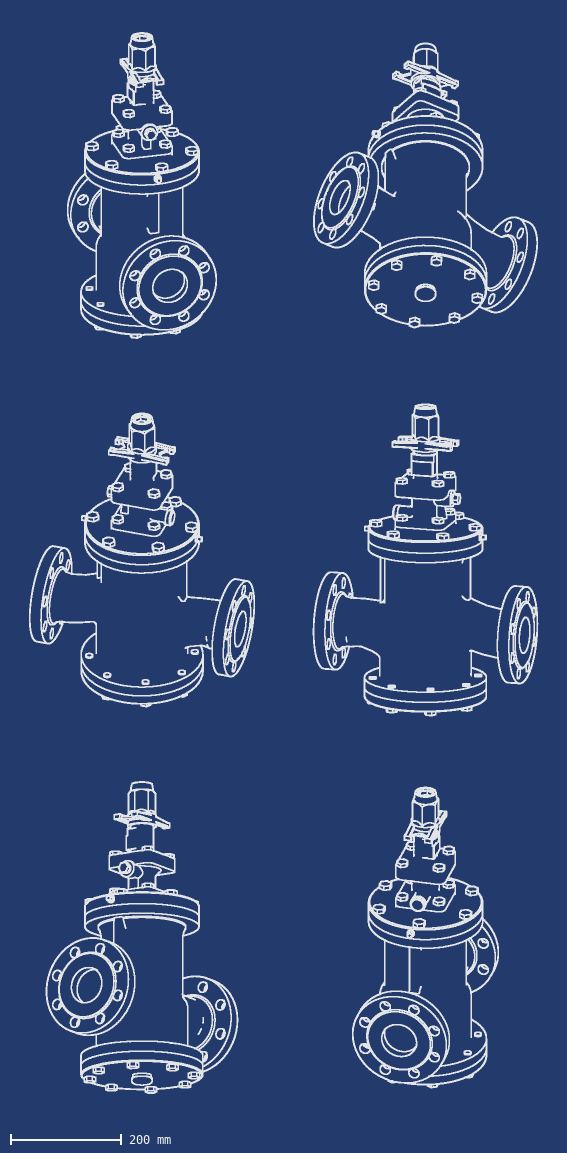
import cadquery as cq
import math


base_flange_dia = 220.0
base_cover_bottom_z = 14.5
base_seam_z = 32.5
base_flange_top_z = 51.5
base_rim_chamfer = 1.5
lower_shell_dia = 165.0
upper_shell_dia = 147.5
shell_foot_radius = 4.5
bulge_bottom_z = 139.5
bulge_middle_z = 153.5
bulge_top_z = 163.0
neck_flare_bottom_z = 270.0
neck_flare_top_z = 288.0
neck_flare_dia = 158.5
cover_flange_dia = 206.0
cover_flange_bottom_z = 290.5
cover_seam_z = 308.0
cover_top_z = 330.0
cover_rim_chamfer = 2.0

rib_reach = 83.5
rib_width = 19.0
rib_foot_radius = 3.0
rib_edge_radius = 5.0

pipe_axis_z = 143.5
pipe_span = 374.0
pipe_end_x = pipe_span / 2
raised_face_dia = 122.0
raised_face_top_dia = 117.0
raised_face_height = 3.0
pipe_flange_dia = 175.0
pipe_flange_thickness = 21.5
bore_dia = 65.0
bore_depth = 19.5
flange_hole_dia = 19.0
flange_hole_circle_radius = 70.0
flange_hole_count = 8
hub_root_dia = 99.5
hub_root_radius = 3.5
hub_end_dia = 88.5
hub_end_x = 137.5
hub_waist_x = 152.5
hub_waist_dia = 92.0
inlet_blend_radius = 13.5
outlet_blend_radius = 6.5
blend_zone_x = (58.0, 88.5)
blend_zone_z = (88.5, 221.5)

bolt_head_height = 8.0
base_bolt_dia = 20.5
base_bolt_circle_radius = 95.5
base_bolt_count = 8
stud_dia = 12.0
stud_height = 2.0
cover_bolt_dia = 22.5
cover_bolt_circle_radius = 91.0
cover_bolt_count = 6
cover_bolt_start_angle = 7.4
pilot_bolt_dia = 21.0
pilot_bolt_head_height = 6.5
pilot_bolt_offset = 34.5

plug_dia = 36.5
plug_bottom_dia = 27.0
plug_neck_dia = 34.0
plug_rim_bottom_z = 6.0
plug_rim_top_z = 9.0

screw_z = 319.5
screw_collar_dia = 12.0
screw_collar_length = 3.5
screw_shank_dia = 8.5
screw_reach = 113.5

plate_width = 92.5
plate_corner_radius = 12.0
plate_edge_radius = 1.5
pad_top_z = 338.5
pad_foot_radius = 3.5
lower_plate_top_z = 350.0
pilot_neck_dia = 49.5
pilot_neck_foot_radius = 3.5
cone_bottom_z = 381.5
cone_blend_z = 386.5
cone_blend_dia = 54.5
cone_dia = 68.5
upper_plate_bottom_z = 394.5
upper_plate_top_z = 419.0
left_port_z = 353.5
left_port_end_x = 49.0
left_port_dia = 26.0
left_port_blend_radius = 3.5
left_cap_dia = 27.0
left_cap_end_x = 58.0
left_cap_chamfer = 2.0
right_port_z = 387.0
right_port_dia = 30.0
right_port_end_x = 51.0
right_plug_neck_dia = 16.5
right_plug_neck_end_x = 54.0
right_plug_dia = 20.0
right_plug_end_x = 63.0
gusset_width = 13.5
gusset_edge_radius = 3.5
gusset_foot_x = 39.5
gusset_head_x = 33.0

column_dia = 42.0
column_foot_radius = 5.5
block_width = 42.0
block_depth = 21.5
block_bottom_z = 431.0
band_bottom_z = 457.0
block_top_z = 469.0
band_corner_depth = 18.0
band_crown_depth = 24.0
block_edge_chamfer = 1.5
ring_dia = 52.0
ring_bottom_z = 476.5
ring_top_z = 496.0
handle_reach = 55.0
handle_bottom_z = 481.5
handle_tip_top_z = 490.0
rail_start_x = 3.0
rail_root_top_z = 494.0
rail_chamfer = 1.5
rail_outer_y = 25.0
rail_inner_y = 16.0
rail_tip_inner_y = 13.0
rail_tip_length = 6.5
web_bottom_z = 483.5
web_top_z = 487.5
web_edge_x = 43.0
web_notch_x = 32.5
nut_dia = 49.5
nut_top_z = 540.0
nut_foot_height = 6.5
nut_collar_dia = 42.0
nut_collar_top_dia = 37.0
total_height = 554.0
socket_dia = 27.0
socket_depth = 11.5
socket_mouth_dia = 30.0
socket_mouth_depth = 4.0


def disc(diameter, bottom_z, top_z):
    """Upright cylinder on the main axis."""
    return cq.Workplane("XY").workplane(offset=bottom_z).circle(diameter / 2).extrude(top_z - bottom_z)


def rod(diameter, start_x, end_x, z):
    """Cylinder along X at the given height."""
    plane = cq.Workplane("YZ", origin=(start_x, 0, z))
    return plane.circle(diameter / 2).extrude(end_x - start_x)


def hex_head(diameter, height, x, y, bottom_z):
    """Hexagonal bolt head; the diameter is across corners."""
    return cq.Workplane("XY", origin=(x, y, bottom_z)).polygon(6, diameter).extrude(height)


def ring_points(radius, count, start_angle):
    """Points evenly spaced on a circle."""
    angles = [math.radians(start_angle + 360 / count * i) for i in range(count)]
    return [(radius * math.cos(a), radius * math.sin(a)) for a in angles]


def square_plate(bottom_z, top_z):
    """Square flange plate of the pilot valve with rounded corners."""
    plate = cq.Workplane("XY").workplane(offset=bottom_z)
    plate = plate.rect(plate_width, plate_width).extrude(top_z - bottom_z)
    return plate.edges("|Z").fillet(plate_corner_radius)


base_bolt_points = ring_points(base_bolt_circle_radius, base_bolt_count, 180 / base_bolt_count)
cover_bolt_points = ring_points(cover_bolt_circle_radius, cover_bolt_count, cover_bolt_start_angle)
pilot_bolt_points = [(sx * pilot_bolt_offset, sy * pilot_bolt_offset) for sx in (-1, 1) for sy in (-1, 1)]


def make_base_cover():
    cover = disc(base_flange_dia, base_cover_bottom_z, base_seam_z)
    cover = cover.faces("<Z").edges().chamfer(base_rim_chamfer)
    for x, y in base_bolt_points:
        head = hex_head(base_bolt_dia, bolt_head_height, x, y, base_cover_bottom_z - bolt_head_height)
        cover = cover.union(head)
    plug = (
        cq.Workplane("XZ")
        .lineTo(plug_bottom_dia / 2, 0)
        .tangentArcPoint((plug_dia / 2, plug_rim_bottom_z), relative=False)
        .lineTo(plug_dia / 2, plug_rim_top_z)
        .lineTo(plug_neck_dia / 2, plug_rim_top_z)
        .lineTo(plug_neck_dia / 2, base_cover_bottom_z)
        .lineTo(0, base_cover_bottom_z)
        .close()
        .revolve(360, (0, 0, 0), (0, 1, 0))
    )
    return cover.union(plug)


def make_shell():
    """Turned body: two end flanges and a shell that steps in through a rounded bulge."""
    lower_r = lower_shell_dia / 2
    upper_r = upper_shell_dia / 2
    bulge_share = (bulge_middle_z - bulge_bottom_z) / (bulge_top_z - bulge_bottom_z)
    middle_r = lower_r - (lower_r - upper_r) * bulge_share
    foot_z = base_flange_top_z + shell_foot_radius
    return (
        cq.Workplane("XZ")
        .moveTo(0, base_seam_z)
        .lineTo(base_flange_dia / 2, base_seam_z)
        .lineTo(base_flange_dia / 2, base_flange_top_z)
        .lineTo(lower_r + shell_foot_radius, base_flange_top_z)
        .radiusArc((lower_r, foot_z), shell_foot_radius)
        .lineTo(lower_r, bulge_bottom_z)
        .tangentArcPoint((middle_r, bulge_middle_z), relative=False)
        .tangentArcPoint((upper_r, bulge_top_z), relative=False)
        .lineTo(upper_r, neck_flare_bottom_z)
        .tangentArcPoint((neck_flare_dia / 2, neck_flare_top_z), relative=False)
        .lineTo(neck_flare_dia / 2, cover_flange_bottom_z)
        .lineTo(cover_flange_dia / 2, cover_flange_bottom_z)
        .lineTo(cover_flange_dia / 2, cover_seam_z)
        .lineTo(0, cover_seam_z)
        .close()
        .revolve(360, (0, 0, 0), (0, 1, 0))
    )


def make_side_ribs():
    """Upright ridges on the +X and -X sides of the upper shell."""
    half = rib_width / 2
    foot_half = half + rib_foot_radius
    foot_x = math.sqrt((upper_shell_dia / 2) ** 2 - foot_half ** 2)
    rib = (
        cq.Workplane("XY")
        .workplane(offset=pipe_axis_z)
        .moveTo(0, -foot_half)
        .lineTo(foot_x, -foot_half)
        .radiusArc((foot_x + rib_foot_radius, -half), rib_foot_radius)
        .lineTo(rib_reach - rib_edge_radius, -half)
        .radiusArc((rib_reach, -half + rib_edge_radius), -rib_edge_radius)
        .lineTo(rib_reach, half - rib_edge_radius)
        .radiusArc((rib_reach - rib_edge_radius, half), -rib_edge_radius)
        .lineTo(foot_x + rib_foot_radius, half)
        .radiusArc((foot_x, foot_half), rib_foot_radius)
        .lineTo(0, foot_half)
        .close()
        .extrude(cover_flange_bottom_z - pipe_axis_z)
    )
    return rib.union(rib.mirror("YZ"))


def make_pipe_flange():
    """Flange and hub of the +X pipe, turned about the pipe axis."""
    face_x = pipe_end_x - raised_face_height
    back_x = face_x - pipe_flange_thickness
    flange = (
        cq.Workplane("XY")
        .moveTo(hub_end_x, 0)
        .lineTo(hub_end_x, hub_end_dia / 2)
        .threePointArc((hub_waist_x, hub_waist_dia / 2), (back_x - hub_root_radius, hub_root_dia / 2))
        .radiusArc((back_x, hub_root_dia / 2 + hub_root_radius), hub_root_radius)
        .lineTo(back_x, pipe_flange_dia / 2)
        .lineTo(face_x, pipe_flange_dia / 2)
        .lineTo(face_x, raised_face_dia / 2)
        .lineTo(pipe_end_x, raised_face_top_dia / 2)
        .lineTo(pipe_end_x, 0)
        .close()
        .revolve(360, (0, 0, 0), (1, 0, 0))
    )
    bore = rod(bore_dia, pipe_end_x - bore_depth, pipe_end_x, 0)
    hole_points = ring_points(flange_hole_circle_radius, flange_hole_count, 180 / flange_hole_count)
    holes = (
        cq.Workplane("YZ", origin=(back_x, 0, 0))
        .pushPoints(hole_points)
        .circle(flange_hole_dia / 2)
        .extrude(pipe_flange_thickness)
    )
    return flange.cut(bore).cut(holes).translate((0, 0, pipe_axis_z))


def make_pipe_bend(side, sections):
    """Loft from the hub towards the body."""
    wires = []
    for distance, mid_z, half_y, half_z in sections:
        section = cq.Workplane("YZ", origin=(side * distance, 0, mid_z)).ellipse(half_y, half_z)
        wires.append(section.val())
    return cq.Workplane(cq.Solid.makeLoft(wires))


hub_section = (hub_end_x, pipe_axis_z, hub_end_dia / 2, hub_end_dia / 2)
inlet_sections = [hub_section, (105.0, 142.5, 39.0, 45.5), (77.5, 134.0, 35.5, 52.0), (55.5, 127.5, 33.0, 59.0)]
outlet_sections = [hub_section, (109.0, 148.5, 42.0, 45.0), (77.5, 159.5, 41.0, 46.5), (55.5, 169.5, 40.0, 48.0)]


def make_body():
    body = make_shell()
    for side, sections, blend_radius in (
        (-1, inlet_sections, inlet_blend_radius),
        (1, outlet_sections, outlet_blend_radius),
    ):
        body = body.union(make_pipe_bend(side, sections))
        blend_zone = cq.selectors.BoxSelector(
            (side * blend_zone_x[0], -hub_end_dia / 2, blend_zone_z[0]),
            (side * blend_zone_x[1], hub_end_dia / 2, blend_zone_z[1]),
        )
        body = body.edges(blend_zone).fillet(blend_radius)
    flange = make_pipe_flange()
    body = body.union(flange).union(flange.mirror("YZ")).union(make_side_ribs())
    for x, y in base_bolt_points:
        stud = cq.Workplane("XY", origin=(x, y, base_flange_top_z)).circle(stud_dia / 2)
        body = body.union(stud.extrude(stud_height))
    return body


def make_top_cover():
    cover = disc(cover_flange_dia, cover_seam_z, cover_top_z)
    cover = cover.faces(">Z").edges().chamfer(cover_rim_chamfer)
    cover = cover.union(square_plate(cover_top_z, pad_top_z))
    half_box = plate_width / 2 + pad_foot_radius
    pad_foot = cq.selectors.BoxSelector(
        (-half_box, -half_box, cover_top_z - pad_foot_radius),
        (half_box, half_box, cover_top_z + pad_foot_radius),
        boundingbox=True,
    )
    cover = cover.edges(pad_foot).fillet(pad_foot_radius)
    for x, y in cover_bolt_points:
        cover = cover.union(hex_head(cover_bolt_dia, bolt_head_height, x, y, cover_top_z))
    rim_x = cover_flange_dia / 2
    seat_x = rim_x - screw_collar_length
    for side in (-1, 1):
        collar = rod(screw_collar_dia, side * seat_x, side * (rim_x + screw_collar_length), screw_z)
        shank = rod(screw_shank_dia, side * rim_x, side * screw_reach, screw_z)
        cover = cover.union(collar).union(shank)
    return cover


def make_pilot_body():
    """Lower plate, round neck with its left port and cone, and the upper plate."""
    neck_r = pilot_neck_dia / 2
    foot_z = lower_plate_top_z + pilot_neck_foot_radius
    left_port = rod(left_port_dia, 0, -left_port_end_x, left_port_z)
    ported_neck = disc(pilot_neck_dia, pad_top_z, cone_bottom_z).union(left_port)
    port_seam = cq.selectors.BoxSelector(
        (-neck_r, -left_port_dia / 2, pad_top_z),
        (-neck_r / 2, left_port_dia / 2, cone_bottom_z),
    )
    ported_neck = ported_neck.edges(port_seam).fillet(left_port_blend_radius)
    flares = (
        cq.Workplane("XZ")
        .moveTo(0, lower_plate_top_z)
        .lineTo(neck_r + pilot_neck_foot_radius, lower_plate_top_z)
        .radiusArc((neck_r, foot_z), pilot_neck_foot_radius)
        .lineTo(neck_r, cone_bottom_z)
        .tangentArcPoint((cone_blend_dia / 2, cone_blend_z), relative=False)
        .lineTo(cone_dia / 2, upper_plate_bottom_z)
        .lineTo(0, upper_plate_bottom_z)
        .close()
        .revolve(360, (0, 0, 0), (0, 1, 0))
    )
    lower_plate = square_plate(pad_top_z, lower_plate_top_z)
    lower_plate = lower_plate.faces(">Z").edges().fillet(plate_edge_radius)
    upper_plate = square_plate(upper_plate_bottom_z, upper_plate_top_z)
    upper_plate = upper_plate.faces(">Z").edges().fillet(plate_edge_radius)
    body = ported_neck.union(flares).union(lower_plate).union(upper_plate)
    for level in (lower_plate_top_z, upper_plate_top_z):
        for x, y in pilot_bolt_points:
            body = body.union(hex_head(pilot_bolt_dia, pilot_bolt_head_height, x, y, level))
    return body


def make_port_parts():
    """Cap of the -X port, and the plugged port with its gusset on the +X side."""
    left_cap = rod(left_cap_dia, -left_port_end_x, -left_cap_end_x, left_port_z)
    left_cap = left_cap.faces("<X").edges().chamfer(left_cap_chamfer)
    right_port = rod(right_port_dia, 0, right_port_end_x, right_port_z)
    plug_neck = rod(right_plug_neck_dia, right_port_end_x, right_plug_neck_end_x, right_port_z)
    plug = cq.Workplane("YZ", origin=(right_plug_neck_end_x, 0, right_port_z))
    plug = plug.polygon(6, right_plug_dia).extrude(right_plug_end_x - right_plug_neck_end_x)
    gusset = (
        cq.Workplane("XZ")
        .moveTo(0, lower_plate_top_z)
        .lineTo(gusset_foot_x, lower_plate_top_z)
        .lineTo(gusset_head_x, right_port_z)
        .lineTo(0, right_port_z)
        .close()
        .extrude(gusset_width / 2, both=True)
    )
    gusset = gusset.faces(">X").edges("not |Y").fillet(gusset_edge_radius)
    return [left_cap, right_port, plug_neck, plug, gusset]


def make_spring_column():
    """Round column with a nameplate block on its -Y side."""
    column_r = column_dia / 2
    foot_z = upper_plate_top_z + column_foot_radius
    column = (
        cq.Workplane("XZ")
        .moveTo(0, upper_plate_top_z)
        .lineTo(column_r + column_foot_radius, upper_plate_top_z)
        .radiusArc((column_r, foot_z), column_foot_radius)
        .lineTo(column_r, ring_bottom_z)
        .lineTo(0, ring_bottom_z)
        .close()
        .revolve(360, (0, 0, 0), (0, 1, 0))
    )
    block = cq.Workplane("XY", origin=(0, -block_depth / 2, block_bottom_z))
    block = block.rect(block_width, block_depth).extrude(band_bottom_z - block_bottom_z)
    block = block.edges("|Z and <Y").chamfer(block_edge_chamfer)
    half_width = block_width / 2
    band = (
        cq.Workplane("XY")
        .workplane(offset=band_bottom_z)
        .moveTo(-half_width, 0)
        .lineTo(-half_width, -band_corner_depth)
        .threePointArc((0, -band_crown_depth), (half_width, -band_corner_depth))
        .lineTo(half_width, 0)
        .close()
        .extrude(block_top_z - band_bottom_z)
    )
    return column.union(block).union(band)


def make_handle():
    """Ring with two rails and a notched web on each side."""
    handle = disc(ring_dia, ring_bottom_z, ring_top_z)
    web_points = [
        (-web_edge_x, -rail_inner_y),
        (web_edge_x, -rail_inner_y),
        (web_notch_x, 0),
        (web_edge_x, rail_inner_y),
        (-web_edge_x, rail_inner_y),
        (-web_notch_x, 0),
    ]
    web = cq.Workplane("XY").workplane(offset=web_bottom_z)
    handle = handle.union(web.polyline(web_points).close().extrude(web_top_z - web_bottom_z))
    rail_points = [
        (rail_start_x, handle_bottom_z),
        (handle_reach, handle_bottom_z),
        (handle_reach, handle_tip_top_z),
        (rail_start_x, rail_root_top_z),
    ]
    rail_plane = cq.Workplane("XZ", origin=(0, -rail_inner_y, 0))
    rail = rail_plane.polyline(rail_points).close().extrude(rail_outer_y - rail_inner_y)
    rail = rail.faces("<Y").edges("not |Z").chamfer(rail_chamfer)
    tip = cq.Workplane("XY").box(
        rail_tip_length,
        rail_outer_y - rail_tip_inner_y,
        handle_tip_top_z - handle_bottom_z,
    )
    tip = tip.translate((
        handle_reach - rail_tip_length / 2,
        -(rail_outer_y + rail_tip_inner_y) / 2,
        (handle_bottom_z + handle_tip_top_z) / 2,
    ))
    arm = rail.union(tip)
    arm_pair = arm.union(arm.mirror("XZ"))
    return handle.union(arm_pair).union(arm_pair.mirror("YZ"))


def make_cap_nut():
    """Hexagonal cap nut with a tapered collar and a hexagonal socket in its top."""
    nut = hex_head(nut_dia, nut_top_z - ring_top_z, 0, 0, ring_top_z)
    foot = cq.Workplane("XY").workplane(offset=ring_top_z).circle(ring_dia / 2)
    foot = foot.workplane(offset=nut_foot_height).circle(nut_dia / 2 * math.cos(math.pi / 6)).loft()
    trim = (
        cq.Workplane("XZ")
        .moveTo(0, ring_top_z)
        .lineTo(ring_dia / 2, ring_top_z)
        .lineTo(ring_dia / 2, nut_top_z - (ring_dia - nut_collar_dia) / 2)
        .lineTo(nut_collar_dia / 2, nut_top_z)
        .lineTo(0, nut_top_z)
        .close()
        .revolve(360, (0, 0, 0), (0, 1, 0))
    )
    collar = cq.Workplane("XY").workplane(offset=nut_top_z).circle(nut_collar_dia / 2)
    collar = collar.workplane(offset=total_height - nut_top_z).circle(nut_collar_top_dia / 2).loft()
    socket = hex_head(socket_dia, socket_depth, 0, 0, total_height - socket_depth)
    mouth = disc(socket_mouth_dia, total_height - socket_mouth_depth, total_height)
    return nut.intersect(trim).union(foot).union(collar).cut(socket).cut(mouth)


def make_pilot_valve():
    pilot = make_pilot_body()
    for piece in make_port_parts():
        pilot = pilot.union(piece)
    return pilot.union(make_spring_column()).union(make_handle()).union(make_cap_nut())


base_cover = make_base_cover()
body = make_body()
top_cover = make_top_cover()
pilot_valve = make_pilot_valve()
result = cq.Compound.makeCompound(
    [base_cover.val(), body.val(), top_cover.val(), pilot_valve.val()]
)